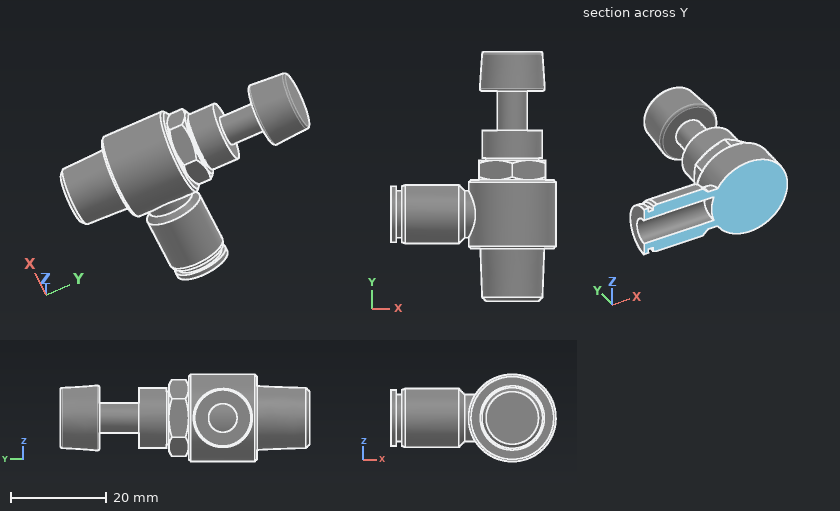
import cadquery as cq
import math


body_diameter = 18.4
body_length = 14.4
body_chamfer = 0.5

thread_length = 11.1
thread_tip_diameter = 12.75
thread_root_diameter = 13.5
thread_chamfer = 0.85

hex_sides = 6
hex_across_flats = 14.0
hex_length = 4.15
hex_chamfer_angle = 30.0

neck_diameter = 11.2
neck_length = 0.45
collar_diameter = 12.69
collar_length = 5.85
stem_diameter = 6.33
stem_length = 8.25

knob_base_diameter = 13.8
knob_top_diameter = 12.69
knob_length = 8.3
knob_edge_radius = 0.5

port_reach = 25.5
flange_diameter = 11.8
flange_length = 1.15
groove_diameter = 9.95
groove_length = 1.1
sleeve_diameter = 12.4
sleeve_length = 12.0
sleeve_chamfer_length = 0.8
sleeve_chamfer_depth = 0.3
shoulder_length = 1.25
port_neck_diameter = 9.92
bore_diameter = 6.0

body_top = body_length / 2
body_bottom = -body_length / 2
hex_top = body_top + hex_length
neck_top = hex_top + neck_length
collar_top = neck_top + collar_length
knob_base = collar_top + stem_length


def cylinder_y(diameter, start, length):
    """Cylinder on the Y axis running from y = start towards +Y."""
    direction = cq.Vector(0, 1, 0)
    return cq.Workplane(cq.Solid.makeCylinder(diameter / 2, length, cq.Vector(0, start, 0), direction))


def revolve_about_y(profile):
    """Turn a closed (radius, y) profile about the Y axis."""
    return cq.Workplane("XY").polyline(profile).close().revolve(360, (0, 0, 0), (0, 1, 0))


def make_body():
    return cylinder_y(body_diameter, body_bottom, body_length).edges().chamfer(body_chamfer)


def make_thread():
    tip = body_bottom - thread_length
    chamfer_start = tip + thread_chamfer
    tip_radius = thread_tip_diameter / 2
    return revolve_about_y([
        (0, tip),
        (tip_radius - thread_chamfer, tip),
        (tip_radius, chamfer_start),
        (thread_root_diameter / 2, body_bottom),
        (0, body_bottom),
    ])


def make_hexagon():
    face_radius = hex_across_flats / 2
    corner_radius = face_radius / math.cos(math.pi / hex_sides)
    chamfer_height = (corner_radius - face_radius) * math.tan(math.radians(hex_chamfer_angle))
    prism = (
        cq.Workplane("XZ", origin=(0, hex_top, 0))
        .transformed(rotate=(0, 0, 90))
        .polygon(hex_sides, 2 * corner_radius)
        .extrude(hex_length)
    )
    chamfer_envelope = revolve_about_y([
        (0, body_top),
        (face_radius, body_top),
        (corner_radius, body_top + chamfer_height),
        (corner_radius, hex_top - chamfer_height),
        (face_radius, hex_top),
        (0, hex_top),
    ])
    return prism.intersect(chamfer_envelope)


def make_knob():
    knob = revolve_about_y([
        (0, knob_base),
        (knob_base_diameter / 2, knob_base),
        (knob_top_diameter / 2, knob_base + knob_length),
        (0, knob_base + knob_length),
    ])
    return knob.edges("%CIRCLE").fillet(knob_edge_radius)


def make_port():
    """Turned port on the X axis, running into the body as far as the valve axis."""
    flange_radius = flange_diameter / 2
    groove_radius = groove_diameter / 2
    sleeve_radius = sleeve_diameter / 2
    port_neck_radius = port_neck_diameter / 2
    groove_start = -port_reach + flange_length
    sleeve_start = groove_start + groove_length
    sleeve_end = sleeve_start + sleeve_length
    profile = [
        (-port_reach, 0),
        (-port_reach, flange_radius),
        (groove_start, flange_radius),
        (groove_start, groove_radius),
        (sleeve_start, groove_radius),
        (sleeve_start, sleeve_radius - sleeve_chamfer_depth),
        (sleeve_start + sleeve_chamfer_length, sleeve_radius),
        (sleeve_end, sleeve_radius),
        (sleeve_end + shoulder_length, port_neck_radius),
        (0, port_neck_radius),
        (0, 0),
    ]
    port = cq.Workplane("XY").polyline(profile).close().revolve(360, (0, 0, 0), (1, 0, 0))
    bore = cq.Workplane("YZ", origin=(-port_reach, 0, 0)).circle(bore_diameter / 2).extrude(port_reach)
    return port.cut(bore)


result = (
    make_body()
    .union(make_port())
    .union(make_thread())
    .union(make_hexagon())
    .union(cylinder_y(neck_diameter, hex_top, neck_length))
    .union(cylinder_y(collar_diameter, neck_top, collar_length))
    .union(cylinder_y(stem_diameter, collar_top, stem_length))
    .union(make_knob())
)